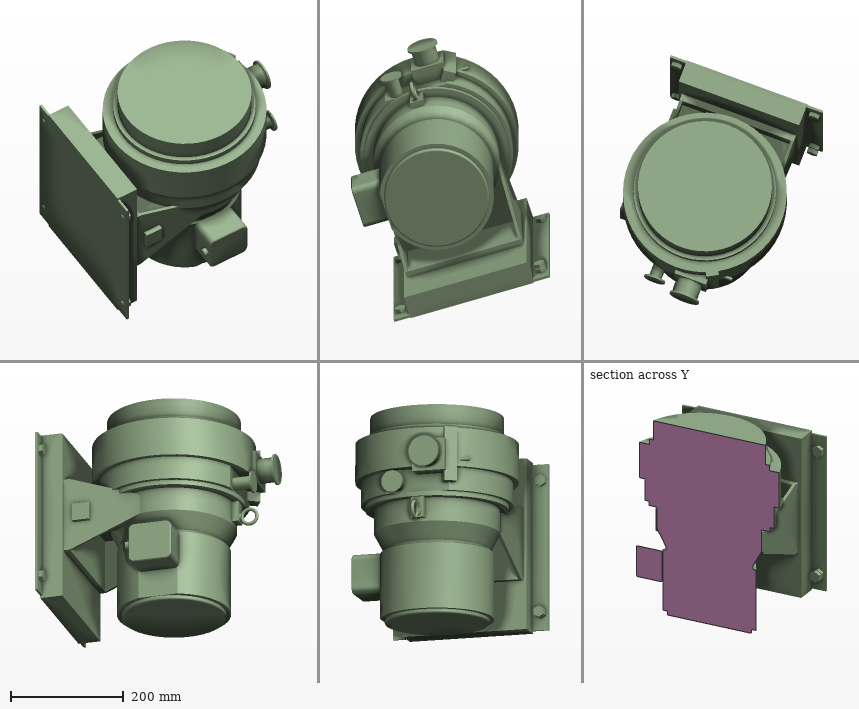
import cadquery as cq
import math


TOTAL_HEIGHT = 373.0
CAP_RADIUS = 93.3
CAP_TOP = 7.5
CAP_FILLET = 3.5
MOTOR_RADIUS = 101.2
MOTOR_TOP = 126.2
MOTOR_FLAT_X = 94.5
NECK_RADIUS = 95.3
NECK_TOP = 132.2
WAIST_RADIUS = 112.0
WAIST_BOTTOM = 163.0
FLANGE_RADIUS = 128.0
FLANGE_BOTTOM = 205.5
FLANGE_TOP = 214.0
HOUSING_RADIUS = 135.5
HOUSING_TOP = 255.5
HOUSING_FLAT_Y = 122.3
DRUM_RADIUS = 145.5
DRUM_TOP = 325.5
STEP_RADIUS = 126.2
STEP_TOP = 336.0
INLET_RADIUS = 118.7

PORT_X = -29.0
PORT_Z = 274.5
PORT_FLANGE_RADIUS = 27.5
PORT_PIPE_RADIUS = 22.2
PORT_END_Y = 182.5
BLOCK_WIDTH = 59.5
BLOCK_HEIGHT = 57.5
BLOCK_END_Y = 151.5

VENT_X = 36.0
VENT_Z = 228.3
VENT_FLANGE_RADIUS = 19.5
VENT_PIPE_RADIUS = 11.5
VENT_END_Y = 159.5

RIM_THICKNESS = 3.5
RIM_BACK_LENGTH = 2.0
RIM_BACK_STEP = 4.0

PAD_TURN = 30.0
PAD_WIDTH = 22.5
PAD_REACH = 152.0
PAD_BOTTOM = 228.0

PIN_RADIUS = 3.0
PIN_END_X = -96.0
PIN_Y = 119.0
PIN_Z = 268.5

BOX_END_X = 147.0
BOX_WIDTH = 79.0
BOX_BOTTOM = 56.8
BOX_TOP = 128.2
BOX_CORNER_RADIUS = 10.7
BOX_EDGE_CHAMFER = 1.5
GLAND_RADIUS = 7.5
GLAND_X = 134.5
GLAND_LENGTH = 7.5

LUG_WIDTH = 24.0
LUG_END_Y = 123.0
LUG_BOTTOM = 168.5
EYE_Y = 140.0
EYE_Z = 178.3
EYE_RING_RADIUS = 14.0
EYE_WIRE_RADIUS = 3.0
EYE_COLLAR_RADIUS = 7.5
EYE_COLLAR_LENGTH = 4.0

BRACKET_HALF_WIDTH = 108.0
SIDE_THICKNESS = 5.5
BRACKET_FRONT_Y = -29.5
BRACKET_FRONT_TOP = 199.3
BRACKET_LIP_Y = -160.0
BRACKET_BACK_Y = -172.0
BRACKET_BOTTOM = 109.5
BRACKET_TOP = 244.5
SOCKET_WIDTH = 31.8
SOCKET_LENGTH = 9.0
SOCKET_Y = -137.5

BASE_HALF_WIDTH = 114.0
BASE_BOTTOM = 21.0
BASE_TOP = 331.0
BASE_WALL_Y = -212.8
WING_HALF_WIDTH = 144.0
WING_INSET = 4.5
WING_THICKNESS = 4.5

BOLT_HALF_SPACING = 130.2
BOLT_LOW_Z = 56.8
BOLT_HIGH_Z = 297.0
BOLT_RADIUS = 4.8
BOLT_PROTRUSION = 1.5
NUT_SIDES = 6
NUT_ACROSS_FLATS = 18.3
NUT_HEIGHT = 7.5
NUT_GAP = 1.5

WING_INNER_Y = BASE_WALL_Y + WING_THICKNESS
BOLT_PLACES = [(x, z) for x in (-BOLT_HALF_SPACING, BOLT_HALF_SPACING) for z in (BOLT_LOW_Z, BOLT_HIGH_Z)]


def box(x_range, y_range, z_range):
    """Axis-aligned block between the given limits."""
    lengths = [high - low for low, high in (x_range, y_range, z_range)]
    corner = (x_range[0], y_range[0], z_range[0])
    return cq.Workplane("XY").box(*lengths, centered=False).translate(corner)


def rod_along_y(x, z, radius, start_y, end_y):
    """Round rod parallel to Y."""
    rod = cq.Solid.makeCylinder(radius, end_y - start_y, cq.Vector(x, start_y, z), cq.Vector(0, 1, 0))
    return cq.Workplane(rod)


def disc(radius, bottom, top):
    """Cylinder on the pump axis."""
    return cq.Workplane("XY").workplane(offset=bottom).circle(radius).extrude(top - bottom)


def make_column():
    """Turned pump column with flats on the motor and the housing."""
    cap = disc(CAP_RADIUS, 0, CAP_TOP).faces("<Z").edges().fillet(CAP_FILLET)
    motor = disc(MOTOR_RADIUS, CAP_TOP, MOTOR_TOP)
    motor = motor.cut(box((MOTOR_FLAT_X, MOTOR_RADIUS), (-MOTOR_RADIUS, MOTOR_RADIUS), (CAP_TOP, MOTOR_TOP)))
    waist = (
        cq.Workplane("XZ")
        .moveTo(0, MOTOR_TOP)
        .lineTo(NECK_RADIUS, MOTOR_TOP)
        .lineTo(NECK_RADIUS, NECK_TOP)
        .lineTo(WAIST_RADIUS, WAIST_BOTTOM)
        .lineTo(WAIST_RADIUS, FLANGE_BOTTOM)
        .lineTo(0, FLANGE_BOTTOM)
        .close()
        .revolve(360, (0, 0, 0), (0, 1, 0))
    )
    flange = disc(FLANGE_RADIUS, FLANGE_BOTTOM, FLANGE_TOP)
    housing = disc(HOUSING_RADIUS, FLANGE_TOP, HOUSING_TOP)
    housing = housing.cut(
        box((-HOUSING_RADIUS, HOUSING_RADIUS), (HOUSING_FLAT_Y, HOUSING_RADIUS), (FLANGE_TOP, HOUSING_TOP))
    )
    drum = disc(DRUM_RADIUS, HOUSING_TOP, DRUM_TOP)
    step = disc(STEP_RADIUS, DRUM_TOP, STEP_TOP)
    inlet = disc(INLET_RADIUS, STEP_TOP, TOTAL_HEIGHT)
    column = cap
    for section in (motor, waist, flange, housing, drum, step, inlet):
        column = column.union(section)
    return column


def make_port(x, z, pipe_radius, flange_radius, end_y):
    """Pipe stub along +Y with a rim whose back face is conical."""
    rim_back_y = end_y - RIM_THICKNESS
    cone_start_y = rim_back_y - RIM_BACK_LENGTH
    pipe = rod_along_y(x, z, pipe_radius, 0, end_y)
    rim = rod_along_y(x, z, flange_radius, rim_back_y, end_y)
    cone = cq.Solid.makeCone(
        pipe_radius,
        flange_radius - RIM_BACK_STEP,
        RIM_BACK_LENGTH,
        cq.Vector(x, cone_start_y, z),
        cq.Vector(0, 1, 0),
    )
    return pipe.union(rim).union(cq.Workplane(cone))


def make_exhaust_block():
    """Rectangular block between the drum and the large port."""
    return box(
        (PORT_X - BLOCK_WIDTH / 2, PORT_X + BLOCK_WIDTH / 2),
        (0, BLOCK_END_Y),
        (PORT_Z - BLOCK_HEIGHT / 2, PORT_Z + BLOCK_HEIGHT / 2),
    )


def make_pad():
    """Upright pad with a flat outer face, turned towards -X."""
    pad = box((0, PAD_WIDTH), (0, PAD_REACH), (PAD_BOTTOM, DRUM_TOP))
    return pad.rotate((0, 0, 0), (0, 0, 1), PAD_TURN)


def make_pin():
    """Round pin that leaves the drum towards -X."""
    pin = cq.Solid.makeCylinder(PIN_RADIUS, -PIN_END_X, cq.Vector(PIN_END_X, PIN_Y, PIN_Z), cq.Vector(1, 0, 0))
    return cq.Workplane(pin)


def make_connector_box():
    """Rounded box on the motor flat, with a cable gland on its -Y side."""
    half = BOX_WIDTH / 2
    body = box((MOTOR_FLAT_X, BOX_END_X), (-half, half), (BOX_BOTTOM, BOX_TOP))
    body = body.edges("|X").fillet(BOX_CORNER_RADIUS)
    body = body.faces(">X").edges().chamfer(BOX_EDGE_CHAMFER)
    gland_z = (BOX_BOTTOM + BOX_TOP) / 2
    gland = rod_along_y(GLAND_X, gland_z, GLAND_RADIUS, -half - GLAND_LENGTH, 0)
    return body.union(gland)


def make_lug():
    """Block under the flange that carries the eye bolt."""
    return box((-LUG_WIDTH / 2, LUG_WIDTH / 2), (0, LUG_END_Y), (LUG_BOTTOM, FLANGE_BOTTOM))


def make_pump():
    """Column with all its attachments as one solid."""
    pump = make_column()
    attachments = (
        make_exhaust_block(),
        make_port(PORT_X, PORT_Z, PORT_PIPE_RADIUS, PORT_FLANGE_RADIUS, PORT_END_Y),
        make_port(VENT_X, VENT_Z, VENT_PIPE_RADIUS, VENT_FLANGE_RADIUS, VENT_END_Y),
        make_pad(),
        make_pin(),
        make_connector_box(),
        make_lug(),
    )
    for attachment in attachments:
        pump = pump.union(attachment)
    return pump


def make_eye_bolt():
    """Lifting ring in the YZ plane with a collar that stands on the lug."""
    ring = cq.Solid.makeTorus(EYE_RING_RADIUS, EYE_WIRE_RADIUS, cq.Vector(0, EYE_Y, EYE_Z), cq.Vector(1, 0, 0))
    collar = rod_along_y(0, EYE_Z, EYE_COLLAR_RADIUS, LUG_END_Y, LUG_END_Y + EYE_COLLAR_LENGTH)
    return cq.Workplane(ring).union(collar)


def make_bracket(pump):
    """Two tapered side plates, a back plate and a web, cut to fit around the pump."""
    side = (
        cq.Workplane("YZ")
        .workplane(offset=-SIDE_THICKNESS / 2)
        .polyline(
            [
                (BRACKET_FRONT_Y, WAIST_BOTTOM),
                (BRACKET_FRONT_Y, BRACKET_FRONT_TOP),
                (BRACKET_LIP_Y, BRACKET_TOP),
                (BRACKET_BACK_Y, BRACKET_TOP),
                (BRACKET_BACK_Y, BRACKET_BOTTOM),
                (BRACKET_LIP_Y, BRACKET_BOTTOM),
            ]
        )
        .close()
        .extrude(SIDE_THICKNESS)
    )
    side_x = BRACKET_HALF_WIDTH - SIDE_THICKNESS / 2
    full_width = (-BRACKET_HALF_WIDTH, BRACKET_HALF_WIDTH)
    back = box(full_width, (BRACKET_BACK_Y, BRACKET_LIP_Y), (BRACKET_BOTTOM, BRACKET_TOP))
    web = box((-side_x, side_x), (BRACKET_BACK_Y, BRACKET_FRONT_Y), (FLANGE_BOTTOM, FLANGE_TOP))
    web = web.cut(disc(FLANGE_RADIUS, FLANGE_BOTTOM, FLANGE_TOP))
    middle_z = (BRACKET_BOTTOM + BRACKET_TOP) / 2
    socket = box(
        (BRACKET_HALF_WIDTH, BRACKET_HALF_WIDTH + SOCKET_LENGTH),
        (SOCKET_Y - SOCKET_WIDTH / 2, SOCKET_Y + SOCKET_WIDTH / 2),
        (middle_z - SOCKET_WIDTH / 2, middle_z + SOCKET_WIDTH / 2),
    )
    bracket = back.union(web).union(socket)
    for x in (-side_x, side_x):
        bracket = bracket.union(side.translate((x, 0, 0)))
    return bracket.cut(pump)


def make_base():
    """Deep box with a thin bolted wing on each side."""
    body = box((-BASE_HALF_WIDTH, BASE_HALF_WIDTH), (BASE_WALL_Y, BRACKET_BACK_Y), (BASE_BOTTOM, BASE_TOP))
    wings = box(
        (-WING_HALF_WIDTH, WING_HALF_WIDTH),
        (BASE_WALL_Y, WING_INNER_Y),
        (BASE_BOTTOM + WING_INSET, BASE_TOP - WING_INSET),
    )
    base = body.union(wings)
    for x, z in BOLT_PLACES:
        base = base.cut(rod_along_y(x, z, BOLT_RADIUS, BASE_WALL_Y, WING_INNER_Y))
    return base


def make_bolt(x, z, nut_count):
    """Bolt through a wing, with hexagonal nuts stacked on the pump side; corners point along Z."""
    nut_pitch = NUT_HEIGHT + NUT_GAP
    end_y = WING_INNER_Y + nut_pitch * (nut_count - 1) + NUT_HEIGHT
    bolt = rod_along_y(x, z, BOLT_RADIUS, BASE_WALL_Y - BOLT_PROTRUSION, end_y)
    across_corners = NUT_ACROSS_FLATS / math.cos(math.pi / NUT_SIDES)
    nut = (
        cq.Workplane("XZ")
        .polygon(NUT_SIDES, across_corners)
        .extrude(-NUT_HEIGHT)
        .rotate((0, 0, 0), (0, 1, 0), 90)
    )
    for index in range(nut_count):
        bolt = bolt.union(nut.translate((x, WING_INNER_Y + nut_pitch * index, z)))
    return bolt


def make_bolts():
    """One bolt per corner; only the lower -X corner has a second nut."""
    bolts = []
    for x, z in BOLT_PLACES:
        nut_count = 2 if x < 0 and z == BOLT_LOW_Z else 1
        bolts.append(make_bolt(x, z, nut_count))
    return bolts


pump = make_pump()
eye_bolt = make_eye_bolt()
bracket = make_bracket(pump)
base = make_base()
bolts = make_bolts()

result = cq.Compound.makeCompound(
    [pump.val(), eye_bolt.val(), bracket.val(), base.val(), *[bolt.val() for bolt in bolts]]
)